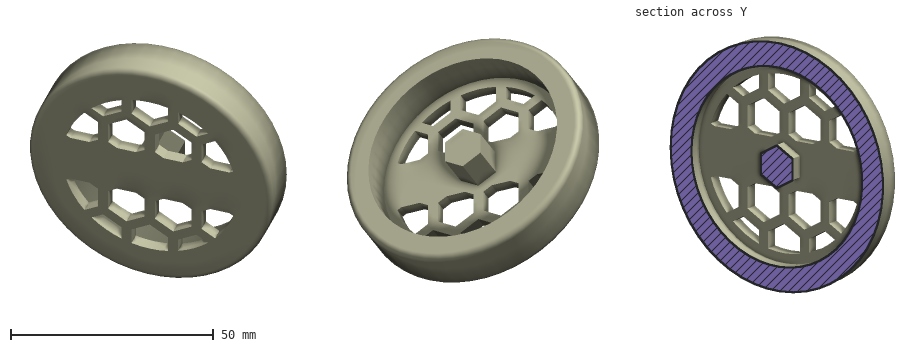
import cadquery as cq
import math

outer_diameter = 63.5
thickness = 12.7
rim_fillet = 1.6

plate_thickness = 3.2
cavity_radius = 25.4
cavity_depth = thickness - plate_thickness

hexagon_flats = 9.5
hexagon_corner_radius = hexagon_flats / math.sqrt(3)

grille_radius = 22.85
plain_band_height = 12.7
column_pitch = 12.2
row_pitch = 10.4
rows_each_side = 2
columns_each_side = 2

front_y = -thickness / 2
back_y = thickness / 2
plate_back_y = front_y + plate_thickness


def sketch_plane(y):
    """XZ sketch plane at the given Y; a positive extrusion from it runs toward -Y."""
    return cq.Workplane("XZ", origin=(0, y, 0))


def rimmed_disc():
    """Solid disc with both outer edges rounded."""
    blank = sketch_plane(back_y).circle(outer_diameter / 2).extrude(thickness)
    return blank.edges("%CIRCLE").fillet(rim_fillet)


def rear_cavity():
    """Round recess open at the back, leaving the front plate and the outer ring."""
    return sketch_plane(back_y).circle(cavity_radius).extrude(cavity_depth)


def honeycomb_centers():
    """Cell centers of the honeycomb; odd rows are shifted by half a column."""
    centers = []
    for row in range(-rows_each_side, rows_each_side + 1):
        shift = column_pitch / 2 if row % 2 else 0.0
        for column in range(-columns_each_side, columns_each_side + 1):
            centers.append((column * column_pitch + shift, row * row_pitch))
    return centers


def hexagon_prisms(y, length, centers):
    """Hexagonal prisms with a corner pointing up, one on each (X, Z) center."""
    corners = []
    for index in range(6):
        angle = math.pi / 2 + index * math.pi / 3
        corner_x = hexagon_corner_radius * math.cos(angle)
        corner_z = hexagon_corner_radius * math.sin(angle)
        corners.append((corner_x, corner_z))
    prisms = cq.Workplane("XZ")
    for center in centers:
        prism = sketch_plane(y).center(*center).polyline(corners).close().extrude(length)
        prisms = prisms.add(prism)
    return prisms.combine()


def grille_windows():
    """Honeycomb cells trimmed to a circle, leaving out a plain band across the middle."""
    cells = hexagon_prisms(plate_back_y, plate_thickness, honeycomb_centers())
    grille_area = sketch_plane(plate_back_y).circle(grille_radius).extrude(plate_thickness)
    plain_band = cq.Workplane("XY").box(outer_diameter, thickness, plain_band_height)
    return cells.intersect(grille_area).cut(plain_band)


def central_post():
    """Hexagonal post standing on the plate and ending flush with the back."""
    return hexagon_prisms(back_y, cavity_depth, [(0, 0)])


result = rimmed_disc().cut(rear_cavity()).cut(grille_windows()).union(central_post())